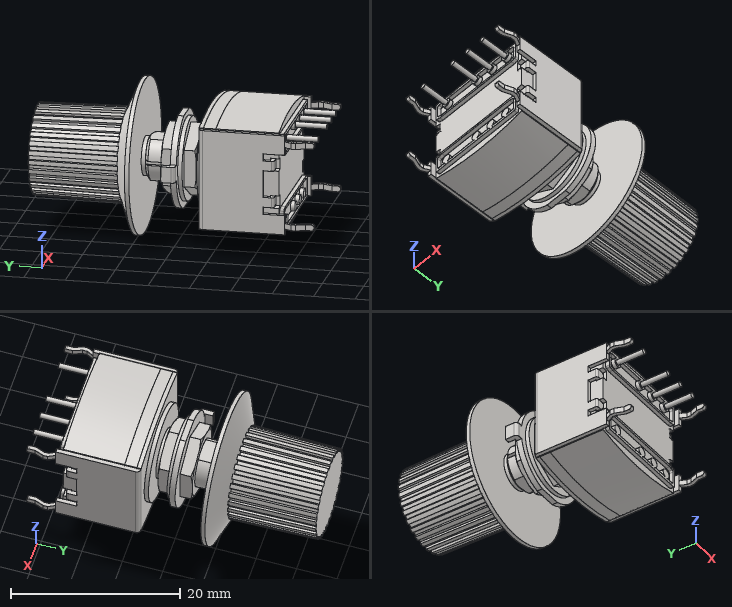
import cadquery as cq
import math


total_length = 35.03
knob_end = 21.02
skirt_top = 10.2
skirt_edge = 8.55
knob_back = 8.02
bushing_end = 7.5
nut_thickness = 1.5
flange_thickness = 0.53
neck_end = 1.05
lock_washer_back = 2.52
tab_washer_back = 3.05
front_nut_back = 3.8
cap_back = -2.03
base_back = -9.65
rim_height = 0.53
frame_back = -10.45
leg_end = knob_end - total_length
pin_end = -13.95

skirt_diameter = 19.0
grip_base_radius = 5.75
grip_end_radius = 5.55
groove_count = 30
groove_depth = 0.3
groove_floor_width = 0.45
groove_mouth_width = 0.6
groove_overrun = 0.35
socket_depth = 7

shaft_diameter = 4.75
thread_diameter = 5.95
nose_diameter = 4.9
nose_chamfer_length = 0.42
neck_diameter = 6.25
flange_diameter = 12.2
flat_to_flat = 5.1
keyway_width = 0.5
keyway_floor_radius = 2.5

nut_across_flats = 7.88
nut_corner_diameter = nut_across_flats / math.cos(math.radians(30))
nut_face_diameter = 8.13
nut_chamfer_length = 0.18
tab_washer_diameter = 11.9
tab_washer_flat_to_flat = 11.5
lock_washer_diameter = 10.2
locating_tab_reach = 6.83
locating_tab_end = 4.73
locating_tab_width = 1.95
locating_tab_thickness = 0.65
locating_tab_bend = 0.42

sheet = 0.53
case_half_width = 7.32
frame_half_width = case_half_width + sheet
frame_side_height = 12.33
case_side_height = 12.6
case_crown_height = 14.43
notch_floor = -7.8
notch_height = 7.5
clip_inner_edge = 1.65
clip_outer_edge = 2.87
clip_back = -9.15
clip_bend = 0.28
clip_pocket_depth = 0.75
clip_gap = 0.2
clip_pocket_draft = 0.1
leg_width = 0.75
leg_kink = 0.42
leg_kink_start = -11.28
leg_kink_finish = -11.85
leg_tip_start = -12.95
leg_corner_radius = 0.3

terminal_pitch = 2.52
terminal_columns = [-2, 0, 1, 2]
terminal_row = 5.08
pin_diameter = 0.7
boss_diameter = 1.23
rim_half_length = 6.8
rim_outer_edge = 6.05
rim_inner_edge = 3.22
rim_wall = 0.3
rim_outer_wall = 0.42
rim_corner_run = 0.7
rim_corner_rise = 0.18
rim_corner_radius = 0.2


def section(y):
    """Sketch plane across the shaft axis; extrusions from it run toward -Y."""
    return cq.Workplane("XZ", origin=(0, y, 0))


def disc(diameter, y_front, y_back):
    return section(y_front).circle(diameter / 2).extrude(y_front - y_back)


def block(x_range, y_range, z_range):
    """Box given by its two limits along each axis."""
    size = [abs(high - low) for low, high in (x_range, y_range, z_range)]
    middle = [(high + low) / 2 for low, high in (x_range, y_range, z_range)]
    return cq.Workplane().box(*size).translate(tuple(middle))


def turned(points):
    """Solid of revolution about the shaft axis from (radius, y) points."""
    return cq.Workplane().polyline(points).close().revolve(360, (0, 0, 0), (0, 1, 0))


def with_x_mirror(shape):
    return shape.union(shape.mirror("YZ"))


def with_z_mirror(shape):
    return shape.union(shape.mirror("XY"))


def make_groove():
    """Cutter for the groove toward +Z; its floor is parallel to the tapered side of the grip."""
    widening = (groove_mouth_width - groove_floor_width) / groove_depth
    floor_half = groove_floor_width / 2
    outside_half = floor_half + widening / 2 * (groove_depth + groove_overrun)
    taper = math.degrees(math.atan2(grip_base_radius - grip_end_radius, knob_end - skirt_top))
    return (
        section(knob_end + groove_overrun)
        .polyline([
            (-floor_half, grip_end_radius - groove_depth),
            (floor_half, grip_end_radius - groove_depth),
            (outside_half, grip_end_radius + groove_overrun),
            (-outside_half, grip_end_radius + groove_overrun),
        ])
        .close()
        .extrude(knob_end + groove_overrun - skirt_edge)
        .rotate((0, knob_end, grip_end_radius), (1, knob_end, grip_end_radius), -taper)
    )


def make_knob():
    grip = turned([
        (0, skirt_edge),
        (grip_base_radius, skirt_edge),
        (grip_base_radius, skirt_top),
        (grip_end_radius, knob_end),
        (0, knob_end),
    ])
    groove = make_groove()
    for index in range(groove_count):
        grip = grip.cut(groove.rotate((0, 0, 0), (0, 1, 0), index * 360 / groove_count))

    cone_slope = (skirt_top - skirt_edge) / (skirt_diameter / 2 - grip_base_radius)
    cone_tip = skirt_edge + cone_slope * skirt_diameter / 2
    skirt = turned([
        (0, knob_back),
        (skirt_diameter / 2, knob_back),
        (skirt_diameter / 2, skirt_edge),
        (0, cone_tip),
    ])
    socket = disc(shaft_diameter, knob_back + socket_depth, knob_back)
    return grip.union(skirt).cut(socket)


def make_shaft():
    return disc(shaft_diameter, knob_back + socket_depth, 0)


def make_bushing():
    barrel = turned([
        (0, 0),
        (thread_diameter / 2, 0),
        (thread_diameter / 2, bushing_end - nose_chamfer_length),
        (nose_diameter / 2, bushing_end),
        (0, bushing_end),
    ])
    flats = block(
        (-thread_diameter, thread_diameter),
        (0, bushing_end),
        (-flat_to_flat / 2, flat_to_flat / 2),
    )
    flange = disc(flange_diameter, flange_thickness, 0)
    neck = disc(neck_diameter, neck_end, 0)
    keyway = block(
        (-thread_diameter, -keyway_floor_radius),
        (flange_thickness, bushing_end),
        (-keyway_width / 2, keyway_width / 2),
    )
    bore = disc(shaft_diameter, bushing_end, 0)
    return barrel.intersect(flats).union(neck).cut(keyway).union(flange).cut(bore)


def make_nut(y_plain, y_chamfer):
    inward = math.copysign(nut_chamfer_length, y_plain - y_chamfer)
    y_front = max(y_plain, y_chamfer)
    hexagon = (
        section(y_front)
        .polygon(6, nut_corner_diameter)
        .extrude(abs(y_plain - y_chamfer))
        .rotate((0, 0, 0), (0, 1, 0), 90)
    )
    envelope = turned([
        (0, y_plain),
        (nut_corner_diameter / 2, y_plain),
        (nut_corner_diameter / 2, y_chamfer + inward),
        (nut_face_diameter / 2, y_chamfer),
        (0, y_chamfer),
    ])
    bore = disc(thread_diameter, y_front, min(y_plain, y_chamfer))
    return hexagon.intersect(envelope).cut(bore)


def make_lock_washer():
    ring = disc(lock_washer_diameter, tab_washer_back, lock_washer_back)
    return ring.cut(disc(thread_diameter, tab_washer_back, lock_washer_back))


def make_tab_washer():
    flats = block(
        (-tab_washer_diameter, tab_washer_diameter),
        (tab_washer_back, front_nut_back),
        (-tab_washer_flat_to_flat / 2, tab_washer_flat_to_flat / 2),
    )
    ring = disc(tab_washer_diameter, front_nut_back, tab_washer_back).intersect(flats)
    tab_z = (-locating_tab_width / 2, locating_tab_width / 2)
    arm = block((-locating_tab_reach, 0), (tab_washer_back, front_nut_back), tab_z)
    upright = block(
        (-locating_tab_reach, -locating_tab_reach + locating_tab_thickness),
        (tab_washer_back, locating_tab_end),
        tab_z,
    )
    tab = arm.union(upright).edges("<X and <Y").fillet(locating_tab_bend)
    return ring.union(tab).cut(disc(thread_diameter, front_nut_back, tab_washer_back))


def make_case_slab(y_front, y_back):
    side = case_side_height / 2
    crown = case_crown_height / 2
    return (
        section(y_front)
        .moveTo(-case_half_width, -side)
        .threePointArc((0, -crown), (case_half_width, -side))
        .lineTo(case_half_width, side)
        .threePointArc((0, crown), (-case_half_width, side))
        .close()
        .extrude(y_front - y_back)
    )


def make_cap():
    return make_case_slab(-sheet, cap_back)


def make_leg():
    """Kinked solder leg on the -X side, upper end."""
    outer = [
        (-frame_half_width, frame_back),
        (-frame_half_width - leg_kink, leg_kink_start),
        (-frame_half_width - leg_kink, leg_kink_finish),
        (-frame_half_width, leg_tip_start),
        (-frame_half_width, leg_end),
    ]
    inner = [(x + sheet, y) for x, y in reversed(outer)]
    return (
        cq.Workplane("XY", origin=(0, 0, terminal_row - leg_width / 2))
        .polyline(outer + inner)
        .close()
        .extrude(leg_width)
        .edges("|X and <Y")
        .fillet(leg_corner_radius)
    )


def make_clip():
    """Tab of the -X side plate bent inward over the case, upper one."""
    inner_end = -case_half_width + clip_pocket_depth
    clip_z = (clip_inner_edge, clip_outer_edge)
    wall = block((-frame_half_width, -case_half_width), (clip_back, notch_floor), clip_z)
    hook = block((-frame_half_width, inner_end), (clip_back, clip_back + sheet), clip_z)
    return wall.union(hook).edges("<X and <Y").fillet(clip_bend)


def make_frame():
    half_height = frame_side_height / 2
    front_plate = make_case_slab(0, -sheet)
    channel = block(
        (-frame_half_width, frame_half_width), (frame_back, 0), (-half_height, half_height)
    ).edges("|Z and >Y").fillet(sheet)
    inside = block(
        (-case_half_width, case_half_width), (frame_back, -sheet), (-half_height, half_height)
    )
    notch = block(
        (-frame_half_width, frame_half_width),
        (frame_back, notch_floor),
        (-notch_height / 2, notch_height / 2),
    )
    fittings = with_x_mirror(with_z_mirror(make_clip().union(make_leg())))
    return channel.cut(inside).cut(notch).union(front_plate).union(fittings)


def make_rim_slab(half_length, outer_edge, inner_edge):
    return (
        section(base_back)
        .polyline([
            (-half_length, outer_edge),
            (half_length, outer_edge),
            (half_length, inner_edge + rim_corner_rise),
            (half_length - rim_corner_run, inner_edge),
            (-half_length + rim_corner_run, inner_edge),
            (-half_length, inner_edge + rim_corner_rise),
        ])
        .close()
        .extrude(rim_height)
        .edges("|Y and (<X or >X)")
        .fillet(rim_corner_radius)
    )


def make_terminal_well():
    """Upper rim with its row of bosses, standing on the rear face of the case."""
    outer = make_rim_slab(rim_half_length, rim_outer_edge, rim_inner_edge)
    inner = make_rim_slab(
        rim_half_length - rim_wall, rim_outer_edge - rim_outer_wall, rim_inner_edge + rim_wall
    )
    bosses = (
        section(base_back)
        .pushPoints([(column * terminal_pitch, terminal_row) for column in terminal_columns])
        .circle(boss_diameter / 2)
        .extrude(rim_height)
    )
    return outer.cut(inner).union(bosses)


def make_clip_pocket():
    """Pocket for the upper clip on the -X side, a little wider at its mouth."""
    floor_x = -case_half_width + clip_pocket_depth
    low = clip_inner_edge - clip_gap / 2
    high = clip_outer_edge + clip_gap
    return (
        section(clip_back + sheet)
        .polyline([
            (-case_half_width, low),
            (floor_x, low + clip_pocket_draft),
            (floor_x, high - clip_pocket_draft),
            (-case_half_width, high),
        ])
        .close()
        .extrude(clip_back + sheet - base_back)
    )


def make_base():
    pockets = with_x_mirror(with_z_mirror(make_clip_pocket()))
    wells = with_z_mirror(make_terminal_well())
    pins = (
        section(base_back)
        .pushPoints([(column * terminal_pitch, terminal_row) for column in terminal_columns])
        .circle(pin_diameter / 2)
        .extrude(base_back - pin_end)
    )
    return make_case_slab(cap_back, base_back).cut(pockets).union(wells).union(pins)


knob = make_knob()
shaft = make_shaft()
bushing = make_bushing()
nuts = [
    make_nut(lock_washer_back, neck_end),
    make_nut(front_nut_back, front_nut_back + nut_thickness),
]
lock_washer = make_lock_washer()
tab_washer = make_tab_washer()
frame = make_frame()
cap = make_cap()
base = make_base()

bodies = [knob, shaft, bushing, *nuts, lock_washer, tab_washer, frame, cap, base]
result = cq.Compound.makeCompound([body.solids().val() for body in bodies])